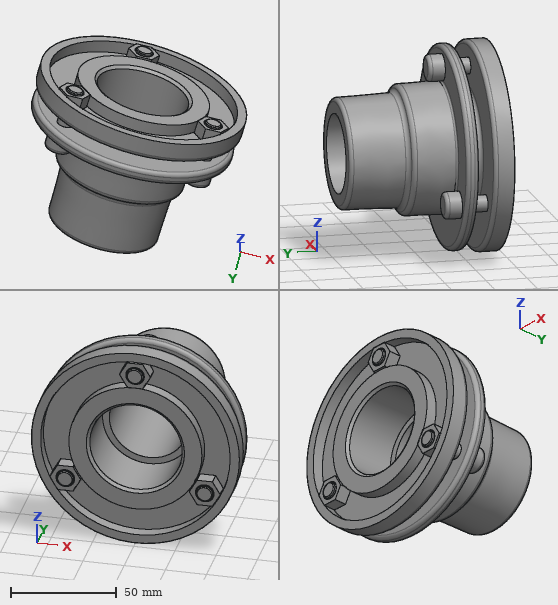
import cadquery as cq
import math


flange_diameter = 101.0
flange_thickness = 10.0
recess_outer_diameter = 92.0
recess_inner_diameter = 64.5
recess_depth = 6.0

plate_diameter = 98.5
plate_front = 17.1
plate_thickness = 6.0
plate_back = plate_front + plate_thickness

neck_diameter = 54.1
sleeve_diameter = 63.8
shoulder_start = 42.6
shoulder_radius = 2.5
hose_diameter = 54.8
hose_end = 74.5
draft_angle = math.radians(1.5)
draft = math.tan(draft_angle)

bore_diameter = 38.3
socket_diameter = 44.8
socket_depth = 28.0
socket_chamfer = 1.4

rim_fillet = 2.0
sleeve_base_fillet = 1.0
match_tolerance = 0.01

bolt_count = 3
first_bolt_angle = 90
bolt_circle_radius = 39.1
bolt_diameter = 8.0
bolt_tip = -1.7
bolt_tip_chamfer = 0.5
bolt_head_diameter = 13.0
bolt_head_height = 8.0
bolt_head_fillet = 1.9
nut_width = 13.0
nut_front = -0.7
nut_countersink_diameter = 9.0


def spin(outline):
    """Revolve an outline, drawn as radius along X and height along Y, about the Y axis."""
    return outline.close().revolve(360, (0, 0, 0), (0, 1, 0))


def turned(points):
    """Revolve straight-sided (radius, y) points about the Y axis."""
    return spin(cq.Workplane("XY").polyline(points))


def cylinder(diameter, y_start, y_end):
    """Solid cylinder on the Y axis."""
    return turned([(0, y_start), (diameter / 2, y_start), (diameter / 2, y_end), (0, y_end)])


def round_circles(body, circles, radius):
    """Fillet the circular edges given as (radius, y) pairs."""
    edges = []
    for circle_radius, y in circles:
        for edge in body.edges("%CIRCLE").vals():
            same_height = abs(edge.Center().y - y) < match_tolerance
            same_radius = abs(edge.radius() - circle_radius) < match_tolerance
            if same_height and same_radius:
                edges.append(edge)
    return body.newObject(edges).fillet(radius)


def make_body():
    flange_radius = flange_diameter / 2
    plate_radius = plate_diameter / 2
    neck_front_radius = neck_diameter / 2
    neck_back_radius = neck_front_radius - draft * (plate_front - flange_thickness)
    sleeve_front_radius = sleeve_diameter / 2
    sleeve_back_radius = sleeve_front_radius - draft * (shoulder_start - plate_back)
    hose_front_radius = hose_diameter / 2

    step = sleeve_back_radius - hose_front_radius
    turn_angle = math.acos(math.cos(draft_angle) - step / (2 * shoulder_radius))
    middle_angle = (draft_angle + turn_angle) / 2
    convex_center = (
        sleeve_back_radius - shoulder_radius * math.cos(draft_angle),
        shoulder_start - shoulder_radius * math.sin(draft_angle),
    )
    concave_center = (
        convex_center[0] + 2 * shoulder_radius * math.cos(turn_angle),
        convex_center[1] + 2 * shoulder_radius * math.sin(turn_angle),
    )

    def convex_point(angle):
        return (
            convex_center[0] + shoulder_radius * math.cos(angle),
            convex_center[1] + shoulder_radius * math.sin(angle),
        )

    def concave_point(angle):
        return (
            concave_center[0] - shoulder_radius * math.cos(angle),
            concave_center[1] - shoulder_radius * math.sin(angle),
        )

    hose_front = concave_point(draft_angle)
    hose_back_radius = hose_front_radius - draft * (hose_end - hose_front[1])

    flange_rim = (flange_radius, flange_thickness)
    neck_base = (neck_front_radius, flange_thickness)
    plate_front_rim = (plate_radius, plate_front)
    plate_back_rim = (plate_radius, plate_back)
    sleeve_base = (sleeve_front_radius, plate_back)
    hose_rim = (hose_back_radius, hose_end)

    lower_points = [
        (0, 0),
        (flange_radius, 0),
        flange_rim,
        neck_base,
        (neck_back_radius, plate_front),
        plate_front_rim,
        plate_back_rim,
        sleeve_base,
        convex_point(draft_angle),
    ]
    body = spin(
        cq.Workplane("XY")
        .polyline(lower_points)
        .threePointArc(convex_point(middle_angle), convex_point(turn_angle))
        .threePointArc(concave_point(middle_angle), hose_front)
        .lineTo(*hose_rim)
        .lineTo(0, hose_end)
    )
    rims = [flange_rim, neck_base, plate_front_rim, plate_back_rim, hose_rim]
    body = round_circles(body, rims, rim_fillet)
    return round_circles(body, [sleeve_base], sleeve_base_fillet)


def make_bore():
    socket_radius = socket_diameter / 2
    return turned([
        (0, 0),
        (socket_radius + socket_chamfer, 0),
        (socket_radius, socket_chamfer),
        (socket_radius, socket_depth),
        (bore_diameter / 2, socket_depth),
        (bore_diameter / 2, hose_end),
        (0, hose_end),
    ])


def make_recess():
    outer = cylinder(recess_outer_diameter, 0, recess_depth)
    return outer.cut(cylinder(recess_inner_diameter, 0, recess_depth))


def make_bolt():
    """Bolt with its head behind the plate and its nut in the flange recess."""
    shank = cylinder(bolt_diameter, bolt_tip, plate_back)
    shank = shank.faces("<Y").chamfer(bolt_tip_chamfer)

    head = cylinder(bolt_head_diameter, plate_back, plate_back + bolt_head_height)
    head = head.faces(">Y").edges().fillet(bolt_head_fillet)

    nut_sides = 6
    nut_corner_diameter = nut_width / math.cos(math.pi / nut_sides)
    nut_height = recess_depth - nut_front
    nut = (
        cq.Workplane("XZ", origin=(0, recess_depth, 0))
        .polygon(nut_sides, nut_corner_diameter)
        .extrude(nut_height)
    )
    countersink_radius = nut_countersink_diameter / 2
    countersink_depth = countersink_radius - bolt_diameter / 2
    countersink = turned([
        (0, nut_front),
        (countersink_radius, nut_front),
        (bolt_diameter / 2, nut_front + countersink_depth),
        (0, nut_front + countersink_depth),
    ])
    return nut.cut(countersink).union(shank).union(head)


result = make_body().cut(make_bore()).cut(make_recess())
bolt = make_bolt()
for i in range(bolt_count):
    angle = math.radians(first_bolt_angle + i * 360 / bolt_count)
    x = bolt_circle_radius * math.cos(angle)
    z = bolt_circle_radius * math.sin(angle)
    result = result.union(bolt.translate((x, 0, z)))